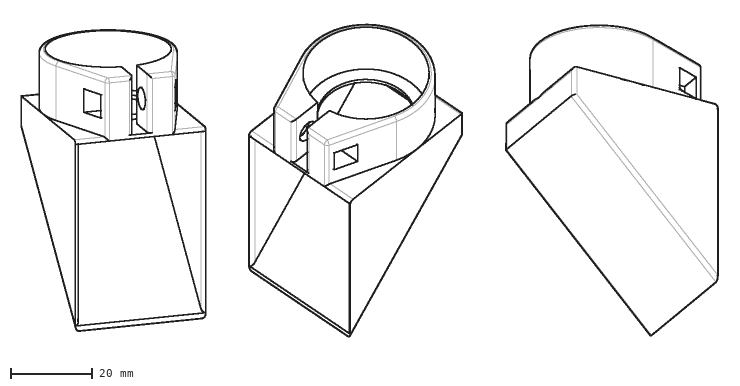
import cadquery as cq
import math

length = 41.0
width = 34.0
base_height = 49.0
slope_start_height = length
edge_round = 1.0

wall = 1.0
opening_radius = 12.0

total_height = 64.0
ring_radius = width / 2
ring_x = ring_radius
bore_radius = 15.5
arm_end_half_width = 8.9
slot_width = 4.0

screw_x = length - 5.0
screw_z = total_height - 7.5
screw_diameter = 5.5
pocket_side = 6.0
pocket_spacing = 8.0

diagonal = math.radians(45)

tolerance = 0.001


def prism(x_left, top, half_width, slope_sum):
    """Prism along Y whose 45 degree underside lies on x + z = slope_sum."""
    outline = [
        (x_left, top),
        (x_left, slope_sum - x_left),
        (length, slope_sum - length),
        (length, top),
    ]
    return cq.Workplane("XZ").polyline(outline).close().extrude(half_width, both=True)


def is_rounded_housing_edge(edge):
    """True for the sides of the slope, the edges of the -X face above it and the +X top edge."""
    centre = edge.Center()
    on_slope = abs(centre.x + centre.z - slope_start_height) < tolerance
    on_slope_side = on_slope and abs(centre.y) > tolerance
    on_left_face = centre.x < tolerance and centre.z > slope_start_height + tolerance
    on_top_right = centre.x > length - tolerance and centre.z > base_height - tolerance
    return on_slope_side or on_left_face or on_top_right


def make_housing():
    block = prism(0, base_height, width / 2, slope_start_height)
    rounded_edges = [edge for edge in block.edges().vals() if is_rounded_housing_edge(edge)]
    return block.newObject(rounded_edges).fillet(edge_round)


def make_hollow():
    """Space behind the mirror face, flaring at +X so that the side walls end rounded."""
    inner_y = width / 2 - wall
    outer_y = width / 2
    flare_x = length - wall
    middle_x = flare_x + wall * math.sin(diagonal)
    middle_y = outer_y - wall * math.cos(diagonal)
    plan = (
        cq.Workplane("XY")
        .moveTo(0, -inner_y)
        .lineTo(flare_x, -inner_y)
        .threePointArc((middle_x, -middle_y), (length, -outer_y))
        .lineTo(length, outer_y)
        .threePointArc((middle_x, middle_y), (flare_x, inner_y))
        .lineTo(0, inner_y)
        .close()
        .extrude(base_height)
    )
    inner_slope_sum = slope_start_height + wall * math.sqrt(2)
    return prism(wall, base_height - wall, outer_y, inner_slope_sum).intersect(plan)


def make_clamp():
    """Teardrop ring whose straight sides run from the round part to two arm ends at +X."""
    bottom = base_height - edge_round
    reach = length - ring_x
    corner_distance = math.hypot(reach, arm_end_half_width)
    corner_angle = math.atan2(arm_end_half_width, reach)
    tangent_angle = corner_angle + math.acos(ring_radius / corner_distance)
    tangent_x = ring_x + ring_radius * math.cos(tangent_angle)
    tangent_y = ring_radius * math.sin(tangent_angle)
    clamp = (
        cq.Workplane("XY", origin=(0, 0, bottom))
        .moveTo(length, -arm_end_half_width)
        .lineTo(tangent_x, -tangent_y)
        .threePointArc((ring_x - ring_radius, 0), (tangent_x, tangent_y))
        .lineTo(length, arm_end_half_width)
        .close()
        .extrude(total_height - bottom)
    )
    clamp = clamp.edges("|Z and >X").fillet(edge_round)
    return clamp.faces(">Z").edges().fillet(edge_round)


def make_slot():
    """Gap between the arms, widening at its +X end where the arm corners are rounded."""
    half = slot_width / 2
    start_x = length - edge_round
    middle_x = start_x + edge_round * math.sin(diagonal)
    middle_y = half + edge_round * (1 - math.cos(diagonal))
    return (
        cq.Workplane("XY", origin=(0, 0, base_height))
        .moveTo(ring_x, -half)
        .lineTo(start_x, -half)
        .threePointArc((middle_x, -middle_y), (length, -half - edge_round))
        .lineTo(length, half + edge_round)
        .threePointArc((middle_x, middle_y), (start_x, half))
        .lineTo(ring_x, half)
        .close()
        .extrude(total_height - base_height)
    )


def make_round_hole(radius, bottom, top):
    return cq.Workplane("XY", origin=(ring_x, 0, bottom)).circle(radius).extrude(top - bottom)


def make_screw_cut():
    axis = cq.Workplane("XZ", origin=(screw_x, 0, screw_z))
    cut = axis.circle(screw_diameter / 2).extrude(width / 2, both=True)
    pocket_depth = (width - pocket_spacing) / 2
    for side in (-1, 1):
        pocket_y = side * (pocket_spacing + pocket_depth) / 2
        pocket = cq.Workplane("XY").box(pocket_side, pocket_depth, pocket_side)
        cut = cut.union(pocket.translate((screw_x, pocket_y, screw_z)))
    return cut


result = make_housing().union(make_clamp())
result = result.cut(make_hollow())
result = result.cut(make_round_hole(opening_radius, base_height - wall, base_height))
result = result.cut(make_round_hole(bore_radius, base_height, total_height))
result = result.cut(make_slot())
result = result.cut(make_screw_cut())